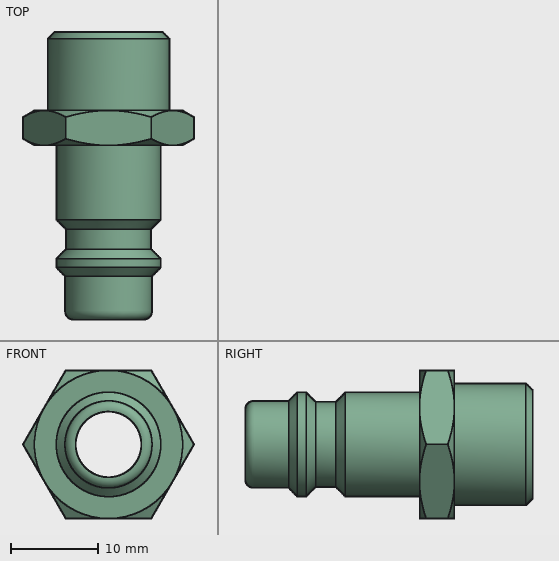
import cadquery as cq
import math


TOTAL_LENGTH = 33.0
NOSE_LENGTH = 5.0
COLLAR_CONE_LENGTH = 1.0
GROOVE_START = 8.1
GROOVE_END = 10.4
HEX_START = 20.0
HEX_THICKNESS = 4.0

BORE_DIAMETER = 7.5
NOSE_DIAMETER = 10.0
BODY_DIAMETER = 12.0
GROOVE_DIAMETER = 9.8
THREAD_DIAMETER = 14.0

NOSE_ROUNDING = 1.0
THREAD_CHAMFER = 0.8
HEX_CHAMFER_ANGLE = 30.0

HEX_ACROSS_FLATS = 17.0
HEX_ACROSS_CORNERS = HEX_ACROSS_FLATS / math.cos(math.radians(30))

GROOVE_DEPTH = (BODY_DIAMETER - GROOVE_DIAMETER) / 2
COLLAR_START = NOSE_LENGTH + COLLAR_CONE_LENGTH
COLLAR_END = GROOVE_START - GROOVE_DEPTH
BODY_START = GROOVE_END + GROOVE_DEPTH


def turned_profile():
    """Revolve the outer contour, given as (radius, station) points, about Y."""
    nose_radius = NOSE_DIAMETER / 2
    body_radius = BODY_DIAMETER / 2
    groove_radius = GROOVE_DIAMETER / 2
    thread_radius = THREAD_DIAMETER / 2
    outline = (
        cq.Workplane("XY")
        .moveTo(0, 0)
        .lineTo(nose_radius - NOSE_ROUNDING, 0)
        .radiusArc((nose_radius, NOSE_ROUNDING), -NOSE_ROUNDING)
        .lineTo(nose_radius, NOSE_LENGTH)
        .lineTo(body_radius, COLLAR_START)
        .lineTo(body_radius, COLLAR_END)
        .lineTo(groove_radius, GROOVE_START)
        .lineTo(groove_radius, GROOVE_END)
        .lineTo(body_radius, BODY_START)
        .lineTo(body_radius, HEX_START)
        .lineTo(thread_radius, HEX_START)
        .lineTo(thread_radius, TOTAL_LENGTH - THREAD_CHAMFER)
        .lineTo(thread_radius - THREAD_CHAMFER, TOTAL_LENGTH)
        .lineTo(0, TOTAL_LENGTH)
        .close()
    )
    return outline.revolve(360, (0, 0, 0), (0, 1, 0))


def wrench_hexagon():
    """Hexagon with corners on X, its corners chamfered conically on both faces."""
    hex_end = HEX_START + HEX_THICKNESS
    face_radius = HEX_ACROSS_FLATS / 2
    corner_radius = HEX_ACROSS_CORNERS / 2
    chamfer_length = (corner_radius - face_radius) * math.tan(math.radians(HEX_CHAMFER_ANGLE))

    prism = (
        cq.Workplane("XZ", origin=(0, HEX_START, 0))
        .polygon(6, HEX_ACROSS_CORNERS)
        .extrude(-HEX_THICKNESS)
    )
    chamfer_envelope = (
        cq.Workplane("XY")
        .moveTo(0, HEX_START)
        .lineTo(face_radius, HEX_START)
        .lineTo(corner_radius, HEX_START + chamfer_length)
        .lineTo(corner_radius, hex_end - chamfer_length)
        .lineTo(face_radius, hex_end)
        .lineTo(0, hex_end)
        .close()
        .revolve(360, (0, 0, 0), (0, 1, 0))
    )
    return prism.intersect(chamfer_envelope)


def through_bore():
    """Cylinder along the whole axis."""
    return cq.Workplane("XZ").circle(BORE_DIAMETER / 2).extrude(-TOTAL_LENGTH)


result = turned_profile().union(wrench_hexagon()).cut(through_bore())